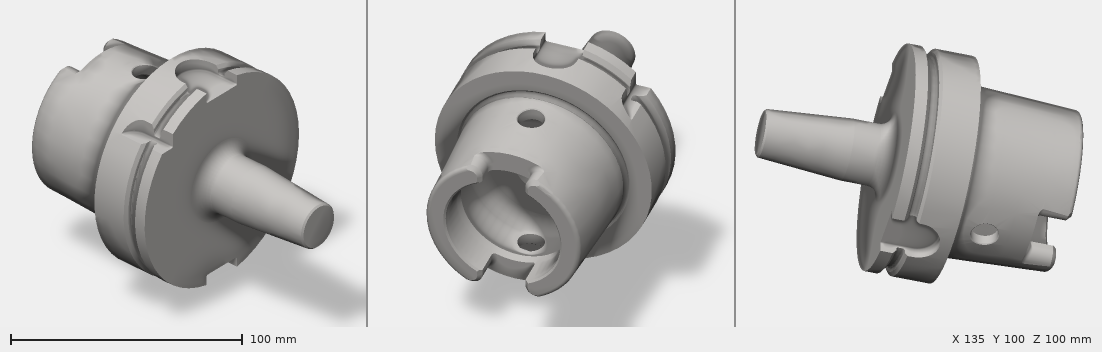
import cadquery as cq
import math


FLANGE_BACK = 50.0
FLANGE_FRONT = 79.0
TOTAL_LENGTH = 135.0

GAUGE_X = 47.2
GAUGE_RADIUS = 75.7 / 2
TAPER_SLOPE = 0.05
RIM_ROUND = 1.9
NECK_X = 48.0
NECK_RADIUS = 37.4
NECK_FILLET = 1.5
RECESS_DEPTH = 0.7
RECESS_RADIUS = 39.8

FLANGE_RADIUS = 100.0 / 2
GROOVE_START = 66.8
GROOVE_END = 73.5
GROOVE_WALL_START = 68.0
GROOVE_WALL_END = 71.8
GROOVE_BACK_WALL_RADIUS = 48.3
GROOVE_FRONT_WALL_RADIUS = 47.8
GROOVE_FLOOR_RADIUS = 45.9
GROOVE_FILLET = 1.0

NOSE_FILLET = 6.0
NOSE_RADIUS = 13.6
NOSE_CONE_START = 96.7
NOSE_TIP_RADIUS = 10.7
NOSE_TIP_CHAMFER = 0.8

BORE_RADIUS = 26.5
BORE_CHAMFER = 0.8
CLAMP_LIP_X = 19.3
CHAMBER_RADIUS = 31.9
CHAMBER_DEPTH = 47.0
CHAMBER_FILLET = 6.8
CENTRE_HOLE_RADIUS = 11.3
CENTRE_HOLE_DEPTH = 13.5
CENTRE_HOLE_CHAMFER = 1.0

CROSS_HOLE_X = 35.1
CROSS_HOLE_RADIUS = 6.0
CROSS_HOLE_CHAMFER = 0.4

KEY_HALF_WIDTH = 9.9
KEY_LIP_RADIUS = 5.0
KEY_LIP_CENTRE_Z = 27.1
KEY_EDGE = 1.9
KEY_DEPTH_TOP = 9.9
KEY_DEPTH_BOTTOM = 14.8

CUT_START = 55.2
SLOT_HALF_WIDTH = 9.9
SLOT_FLOOR_Z = 44.0
NOTCH_EDGE = 31.7
NOTCH_CORNER_RADIUS = 7.8
FLOOR_FILLET = 0.7

SEAM_GAP = 0.01
CLEARANCE = 6.8


def taper_radius(x):
    """Radius of the shank taper at station x."""
    return GAUGE_RADIUS + TAPER_SLOPE * (x - GAUGE_X)


def arc_middle(centre_x, centre_r, radius, degrees):
    """Point on a circle at the given angle, used as the middle of an arc."""
    angle = math.radians(degrees)
    return (centre_x + radius * math.cos(angle), centre_r + radius * math.sin(angle))


def turned_body():
    """Solid of revolution with every outer diameter."""
    rim_radius = taper_radius(RIM_ROUND)
    rim_centre = rim_radius - RIM_ROUND
    recess_floor = FLANGE_BACK + RECESS_DEPTH
    neck_end = recess_floor - NECK_FILLET
    neck_top = NECK_RADIUS + NECK_FILLET
    nose_start = FLANGE_FRONT + NOSE_FILLET
    nose_top = NOSE_RADIUS + NOSE_FILLET
    floor_radius = GROOVE_FLOOR_RADIUS
    floor_top = floor_radius + GROOVE_FILLET
    floor_start = GROOVE_WALL_START + GROOVE_FILLET
    floor_end = GROOVE_WALL_END - GROOVE_FILLET
    tip = TOTAL_LENGTH - NOSE_TIP_CHAMFER
    profile = (
        cq.Workplane("XY")
        .lineTo(0, rim_centre)
        .threePointArc(arc_middle(RIM_ROUND, rim_centre, RIM_ROUND, 135), (RIM_ROUND, rim_radius))
        .lineTo(GAUGE_X, GAUGE_RADIUS)
        .lineTo(NECK_X, NECK_RADIUS)
        .lineTo(neck_end, NECK_RADIUS)
        .threePointArc(arc_middle(neck_end, neck_top, NECK_FILLET, -45), (recess_floor, neck_top))
        .lineTo(FLANGE_BACK, RECESS_RADIUS)
        .lineTo(FLANGE_BACK, FLANGE_RADIUS)
        .lineTo(GROOVE_START, FLANGE_RADIUS)
        .lineTo(GROOVE_WALL_START, GROOVE_BACK_WALL_RADIUS)
        .lineTo(GROOVE_WALL_START, floor_top)
        .threePointArc(arc_middle(floor_start, floor_top, GROOVE_FILLET, -135), (floor_start, floor_radius))
        .lineTo(floor_end, floor_radius)
        .threePointArc(arc_middle(floor_end, floor_top, GROOVE_FILLET, -45), (GROOVE_WALL_END, floor_top))
        .lineTo(GROOVE_WALL_END, GROOVE_FRONT_WALL_RADIUS)
        .lineTo(GROOVE_END, FLANGE_RADIUS)
        .lineTo(FLANGE_FRONT, FLANGE_RADIUS)
        .lineTo(FLANGE_FRONT, nose_top)
        .threePointArc(arc_middle(nose_start, nose_top, NOSE_FILLET, -135), (nose_start, NOSE_RADIUS))
        .lineTo(NOSE_CONE_START, NOSE_RADIUS)
        .lineTo(tip, NOSE_TIP_RADIUS)
        .lineTo(TOTAL_LENGTH, NOSE_TIP_RADIUS - NOSE_TIP_CHAMFER)
        .lineTo(TOTAL_LENGTH, 0)
        .close()
    )
    return profile.revolve(360, (0, 0, 0), (1, 0, 0))


def bore_cutter():
    """Entry bore, wider chamber with a rounded floor, and blind centre hole."""
    fillet_x = CHAMBER_DEPTH - CHAMBER_FILLET
    fillet_r = CHAMBER_RADIUS - CHAMBER_FILLET
    hole_end = CHAMBER_DEPTH + CENTRE_HOLE_DEPTH
    profile = (
        cq.Workplane("XY")
        .lineTo(0, BORE_RADIUS + BORE_CHAMFER)
        .lineTo(BORE_CHAMFER, BORE_RADIUS)
        .lineTo(CLAMP_LIP_X, BORE_RADIUS)
        .lineTo(CLAMP_LIP_X + CHAMBER_RADIUS - BORE_RADIUS, CHAMBER_RADIUS)
        .lineTo(fillet_x, CHAMBER_RADIUS)
        .threePointArc(arc_middle(fillet_x, fillet_r, CHAMBER_FILLET, 45), (CHAMBER_DEPTH, fillet_r))
        .lineTo(CHAMBER_DEPTH, CENTRE_HOLE_RADIUS + CENTRE_HOLE_CHAMFER)
        .lineTo(CHAMBER_DEPTH + CENTRE_HOLE_CHAMFER, CENTRE_HOLE_RADIUS)
        .lineTo(hole_end, CENTRE_HOLE_RADIUS)
        .lineTo(hole_end, 0)
        .close()
    )
    return profile.revolve(360, (0, 0, 0), (1, 0, 0))


def key_outline(x, growth):
    """Drive slot outline at station x: straight sides that flare out over rounded lips."""
    side = KEY_HALF_WIDTH + growth
    lip_radius = KEY_LIP_RADIUS - growth
    lip_y = KEY_HALF_WIDTH + KEY_LIP_RADIUS
    lip_top = KEY_LIP_CENTRE_Z + lip_radius
    outer_y = lip_y + CLEARANCE
    outer_z = GAUGE_RADIUS + CLEARANCE
    arc_y, arc_z = arc_middle(-lip_y, KEY_LIP_CENTRE_Z, lip_radius, 45)
    return (
        cq.Workplane("YZ", origin=(x, 0, 0))
        .moveTo(-side, 0)
        .lineTo(-side, KEY_LIP_CENTRE_Z)
        .threePointArc((arc_y, arc_z), (-lip_y, lip_top))
        .lineTo(-outer_y, lip_top)
        .lineTo(-outer_y, outer_z)
        .lineTo(outer_y, outer_z)
        .lineTo(outer_y, lip_top)
        .lineTo(lip_y, lip_top)
        .threePointArc((-arc_y, arc_z), (side, KEY_LIP_CENTRE_Z))
        .lineTo(side, 0)
        .close()
    )


def key_cutter(depth):
    """Drive slot with a filleted floor and a chamfered open end."""
    slot = key_outline(0, 0).extrude(depth).faces(">X").edges().fillet(KEY_EDGE)
    wide = key_outline(0, KEY_EDGE).wires().val()
    narrow = key_outline(KEY_EDGE, 0).wires().val()
    chamfer = cq.Workplane(cq.Solid.makeLoft([wide, narrow], True))
    return slot.union(chamfer)


def flange_slot_cutter():
    """Round-ended slot, open at the front of the flange."""
    length = FLANGE_FRONT + CLEARANCE - CUT_START
    return (
        cq.Workplane("XY")
        .box(length, 2 * SLOT_HALF_WIDTH, FLANGE_RADIUS, centered=(False, True, False))
        .edges("|Z and <X")
        .fillet(SLOT_HALF_WIDTH - SEAM_GAP)
        .faces("<Z")
        .edges()
        .fillet(FLOOR_FILLET)
        .translate((CUT_START, 0, SLOT_FLOOR_Z))
    )


def notch_cutter():
    """Corner notch in the -Y, +Z side of the flange, open at its front."""
    length = FLANGE_FRONT + CLEARANCE - CUT_START
    return (
        cq.Workplane("XY")
        .box(length, FLANGE_RADIUS, FLANGE_RADIUS, centered=False)
        .edges("|Z and <X and >Y")
        .fillet(NOTCH_CORNER_RADIUS)
        .faces("<Z")
        .edges()
        .fillet(FLOOR_FILLET)
        .translate((CUT_START, -NOTCH_EDGE - FLANGE_RADIUS, NOTCH_EDGE))
    )


def drill_cross_hole(body):
    """Drill through both walls and break the outer edges."""
    reach = GAUGE_RADIUS + CLEARANCE
    low_corner = (CROSS_HOLE_X - CLEARANCE, -CLEARANCE, -reach)
    high_corner = (CROSS_HOLE_X + CLEARANCE, CLEARANCE, reach)
    drill = (
        cq.Workplane("XY", origin=(CROSS_HOLE_X, 0, -reach))
        .circle(CROSS_HOLE_RADIUS)
        .extrude(2 * reach)
    )
    rims = cq.selectors.BoxSelector(low_corner, high_corner, boundingbox=True)
    return body.cut(drill).edges(rims).edges("not |Z").chamfer(CROSS_HOLE_CHAMFER)


def upside_down(cutter):
    """Turn a +Z cutter half a turn about X so that it works on the -Z side."""
    return cutter.rotate((0, 0, 0), (1, 0, 0), 180)


result = (
    drill_cross_hole(turned_body())
    .cut(bore_cutter())
    .cut(key_cutter(KEY_DEPTH_TOP))
    .cut(upside_down(key_cutter(KEY_DEPTH_BOTTOM)))
    .cut(flange_slot_cutter())
    .cut(upside_down(flange_slot_cutter()))
    .cut(notch_cutter())
)